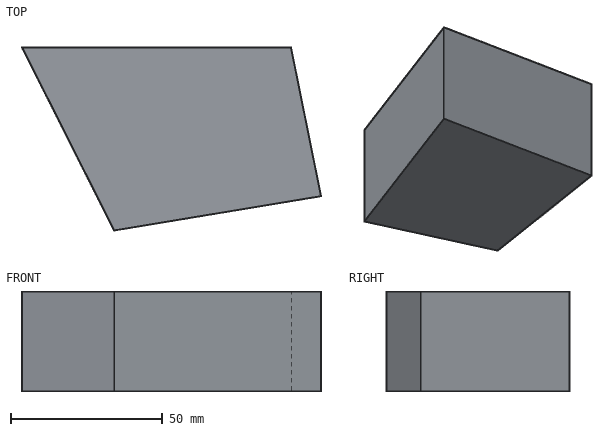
import cadquery as cq

length = 98.95
width = 60.6
height = 33.0

back_edge_length = 89.0
front_corner_x = 30.5
right_corner_rise = 11.35

outline = [
    (0, width),
    (front_corner_x, 0),
    (length, right_corner_rise),
    (back_edge_length, width),
]

result = cq.Workplane("XY").polyline(outline).close().extrude(height)